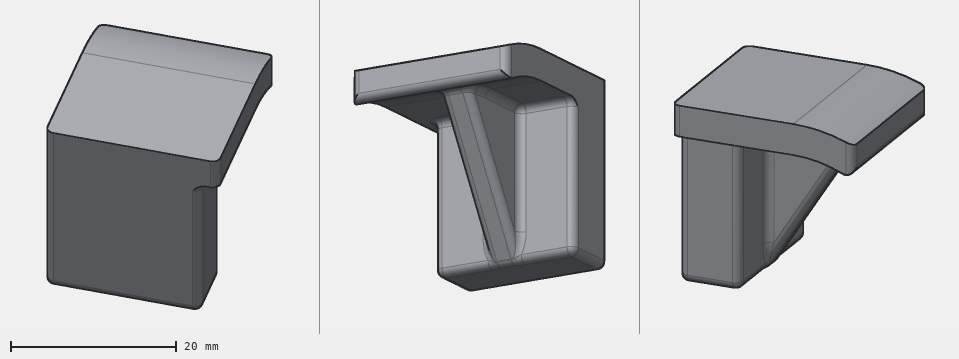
import cadquery as cq
import math

plate_width = 21.75
depth = 24.0
height = 23.7
wall_width = 19.5
wall_thickness = 8.0
plate_thickness = 4.0
edge_radius = 1.0
tolerance = 0.02
fillet_margin = 4.8

flat_depth = 16.0
top_arc_radius = 20.0
bottom_arc_radius = top_arc_radius - plate_thickness

web_thickness = 4.0
web_bottom_gap = 0.35
web_angle = 57.3


def arc_z(radius, y):
    """Height at depth y on an arc centred below the end of the flat stretch."""
    return math.sqrt(radius**2 - (y - flat_depth)**2) - top_arc_radius


def make_oversize_plate():
    """Curved plate that runs past the part's front and sides, with its rear lower edge rounded."""
    arc_middle = (flat_depth + depth) / 2
    top_middle = (arc_middle, arc_z(top_arc_radius, arc_middle))
    top_end = (depth, arc_z(top_arc_radius, depth))
    bottom_middle = (arc_middle, arc_z(bottom_arc_radius, arc_middle))
    bottom_end = (depth, arc_z(bottom_arc_radius, depth))
    plate = (
        cq.Workplane("YZ")
        .workplane(offset=-fillet_margin)
        .moveTo(-fillet_margin, 0)
        .lineTo(flat_depth, 0)
        .threePointArc(top_middle, top_end)
        .lineTo(*bottom_end)
        .threePointArc(bottom_middle, (flat_depth, -plate_thickness))
        .lineTo(-fillet_margin, -plate_thickness)
        .close()
        .extrude(plate_width + 2 * fillet_margin)
    )
    return plate.faces(">Y").edges("<Z").fillet(edge_radius)


def make_wall():
    wall = cq.Workplane("XY").box(wall_width, wall_thickness, height, centered=False)
    wall = wall.translate((0, 0, -height))
    return wall.edges("|Z").fillet(edge_radius)


def make_web():
    lower_z = web_bottom_gap - height
    upper_z = -plate_thickness / 2
    upper_depth = wall_thickness + (upper_z - lower_z) / math.tan(math.radians(web_angle))
    return (
        cq.Workplane("YZ")
        .workplane(offset=(wall_width - web_thickness) / 2)
        .polyline([
            (0, upper_z),
            (upper_depth, upper_z),
            (wall_thickness, lower_z),
            (0, lower_z),
        ])
        .close()
        .extrude(web_thickness)
    )


def round_slanted_edges(body):
    """Round the two long slanted edges of the web."""

    def is_slanted(edge):
        box = edge.BoundingBox()
        return box.xlen < tolerance and box.ylen > wall_thickness and box.zlen > height / 2

    return body.newObject([edge for edge in body.edges().vals() if is_slanted(edge)]).fillet(edge_radius)


def fillet_roots(body):
    """Fillet where the web meets the wall and the plate, and where the wall meets the plate."""
    web_left = (wall_width - web_thickness) / 2
    web_right = web_left + web_thickness

    def is_root(edge):
        box = edge.BoundingBox()
        on_web_side = box.xlen < tolerance and min(
            abs(box.center.x - web_left), abs(box.center.x - web_right)
        ) < tolerance
        web_to_wall = on_web_side and box.ylen < tolerance and box.zlen > height / 2
        web_to_plate = on_web_side and box.zmin > -2 * plate_thickness
        wall_to_plate = (
            abs(box.zmin + plate_thickness) < tolerance
            and box.zlen < tolerance
            and box.ymin > -tolerance
            and box.ymax < wall_thickness + tolerance
            and box.xmin > -tolerance
            and box.xmax < wall_width + tolerance
        )
        return web_to_wall or web_to_plate or wall_to_plate

    return body.newObject([edge for edge in body.edges().vals() if is_root(edge)]).fillet(edge_radius)


def make_outline():
    """Vertical prism with rounded corners that bounds the part."""
    outline = cq.Workplane("XY").box(plate_width, depth, height, centered=False)
    return outline.translate((0, 0, -height)).edges("|Z").fillet(edge_radius)


body = make_oversize_plate().union(make_wall()).union(make_web())
body = fillet_roots(round_slanted_edges(body))
body = body.intersect(make_outline())
result = body.faces("<Z").edges().fillet(edge_radius)